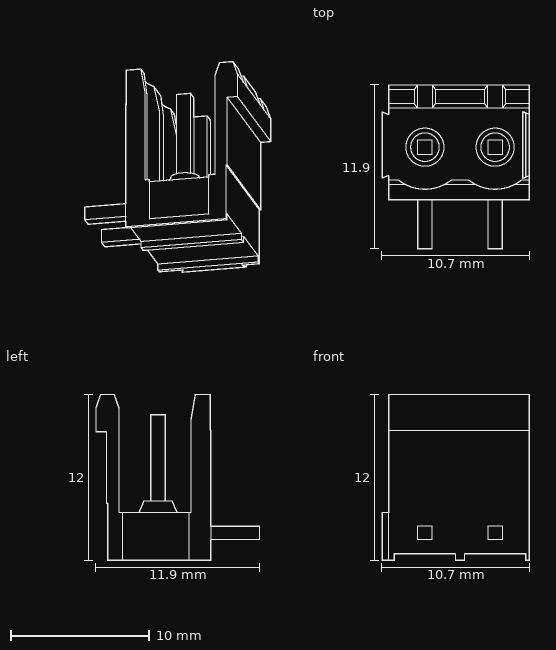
import cadquery as cq

body_length = 10.18
pin_xs = (2.62, 7.69)
pin_y = 3.83
total_height = 12.0
floor_z = 3.48

front_wall_inner_y = 1.45
front_wall_top_inner_y = 1.14
front_wall_taper_z = 10.18
front_step_z = 9.4
front_step_depth = 0.05
scallop_radius = 3.05

rear_lower_y = 7.48
rear_wall_outer_y = 7.57
rear_step_z = 4.12
rear_wall_inner_y = 6.65
lip_y = 8.33
lip_bottom_z = 9.29
lip_shoulder_z = 11.02
lip_bevel = 0.34
notch_bottom_width = 1.09
notch_top_width = 1.51

tongue_depth = 0.48
tongue_front_y = 1.58
tongue_rear_y = 6.38
tongue_undercut = 0.19

foot_height = 0.47
recess_width = 4.4

pin_width = 1.05
tail_height = 0.98
tail_bottom_z = 1.5
tail_length = 3.53
pin_top_z = 10.54
collar_base_radius = 1.38
collar_top_radius = 1.03
collar_height = 0.83


def make_housing():
    """U-shaped section swept along X."""
    profile = [
        (0, 0),
        (0, front_step_z),
        (front_step_depth, front_step_z),
        (front_step_depth, total_height),
        (front_wall_top_inner_y, total_height),
        (front_wall_inner_y, front_wall_taper_z),
        (front_wall_inner_y, floor_z),
        (rear_wall_inner_y, floor_z),
        (rear_wall_inner_y, lip_shoulder_z),
        (rear_wall_inner_y + lip_bevel, total_height),
        (lip_y - lip_bevel, total_height),
        (lip_y, lip_shoulder_z),
        (lip_y, lip_bottom_z),
        (rear_wall_outer_y, lip_bottom_z),
        (rear_wall_outer_y, rear_step_z),
        (rear_lower_y, rear_step_z),
        (rear_lower_y, 0),
    ]
    return cq.Workplane("YZ").polyline(profile).close().extrude(body_length)


def make_dovetail(end_x, bottom_z):
    """Dovetail block whose narrow side lies on x = end_x and which widens towards -X."""
    outline = [
        (end_x - tongue_depth, tongue_front_y),
        (end_x, tongue_front_y + tongue_undercut),
        (end_x, tongue_rear_y - tongue_undercut),
        (end_x - tongue_depth, tongue_rear_y),
    ]
    block = cq.Workplane("XY").workplane(offset=bottom_z).polyline(outline).close()
    return block.extrude(floor_z - bottom_z)


def make_scallop(x):
    """Cylinder around a pin, limited to the front half so only the front wall is cut."""
    height = total_height - floor_z
    cylinder = cq.Workplane("XY", origin=(x, pin_y, floor_z)).circle(scallop_radius).extrude(height)
    front_half = cq.Workplane("XY", origin=(x, pin_y, floor_z)).box(
        2 * scallop_radius, scallop_radius, height, centered=(True, False, False)
    ).translate((0, -scallop_radius, 0))
    return cylinder.intersect(front_half)


def make_lip_notch(x):
    """Trapezoidal notch across the top of the rear wall."""
    outline = [
        (x - notch_bottom_width / 2, lip_shoulder_z),
        (x + notch_bottom_width / 2, lip_shoulder_z),
        (x + notch_top_width / 2, total_height),
        (x - notch_top_width / 2, total_height),
    ]
    plane = cq.Workplane("XZ", origin=(0, rear_wall_inner_y, 0))
    return plane.polyline(outline).close().extrude(rear_wall_inner_y - lip_y)


def make_foot_recess(x):
    """Shallow channel under the body, open at front and rear."""
    return cq.Workplane("XY", origin=(x, 0, 0)).box(
        recess_width, rear_lower_y, foot_height, centered=(True, False, False)
    )


def make_pin(x):
    """Upright contact with its collar, plus the solder tail leaving the front face."""
    contact = cq.Workplane("XY", origin=(x, pin_y, tail_bottom_z)).rect(pin_width, pin_width)
    contact = contact.extrude(pin_top_z - tail_bottom_z)
    tail = cq.Workplane("XY", origin=(x, -tail_length, tail_bottom_z)).box(
        pin_width, tail_length + pin_y, tail_height, centered=(True, False, False)
    )
    collar = cq.Workplane("XY", origin=(x, pin_y, floor_z)).circle(collar_base_radius)
    collar = collar.workplane(offset=collar_height).circle(collar_top_radius).loft()
    return contact.union(tail).union(collar)


result = make_housing()
result = result.cut(make_dovetail(body_length, foot_height))
result = result.union(make_dovetail(0, 0))
for pin_x in pin_xs:
    result = result.cut(make_scallop(pin_x))
    result = result.cut(make_lip_notch(pin_x))
    result = result.cut(make_foot_recess(pin_x))
    result = result.union(make_pin(pin_x))